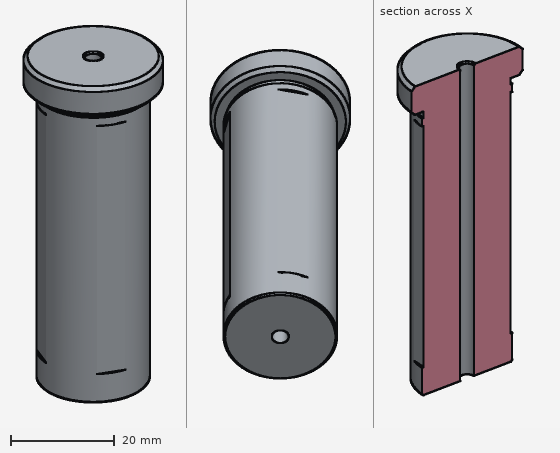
import cadquery as cq

total_length = 69.85
head_diameter = 27.0
head_height = 6.4
head_chamfer = 0.85
shank_diameter = 22.0
shank_chamfer = 0.35

groove_width = 1.3
groove_depth = 0.35

flat_count = 4
flat_depth = 0.385
flat_bottom = 6.35
flat_top = 60.3

hole_diameter = 3.3
hole_chamfer = 0.35

head_bottom = total_length - head_height
groove_bottom = head_bottom - groove_width


def cylinder(diameter, bottom, top):
    """Cylinder on the Z axis between two heights."""
    return cq.Workplane("XY").workplane(offset=bottom).circle(diameter / 2).extrude(top - bottom)


def make_head():
    """Round head with both rims chamfered."""
    return cylinder(head_diameter, head_bottom, total_length).edges().chamfer(head_chamfer)


def make_shank():
    """Shank with a chamfered lower end and a narrower neck forming the groove."""
    body = cylinder(shank_diameter, 0, groove_bottom).faces("<Z").edges().chamfer(shank_chamfer)
    neck = cylinder(shank_diameter - 2 * groove_depth, groove_bottom, head_bottom)
    return body.union(neck)


def cut_flats(body):
    """Mill the shallow flats into the sides of the shank."""
    flat_distance = shank_diameter / 2 - flat_depth
    cutter = cq.Workplane("XY").box(
        shank_diameter, shank_diameter, flat_top - flat_bottom, centered=(False, True, False)
    ).translate((flat_distance, 0, flat_bottom))
    for index in range(flat_count):
        angle = index * 360 / flat_count
        body = body.cut(cutter.rotate((0, 0, 0), (0, 0, 1), angle))
    return body


def cut_hole(body):
    """Drill through along the axis and chamfer the upper mouth."""
    body = body.cut(cylinder(hole_diameter, 0, total_length))
    mouth = cq.Workplane(
        cq.Solid.makeCone(
            hole_diameter / 2,
            hole_diameter / 2 + hole_chamfer,
            hole_chamfer,
            pnt=cq.Vector(0, 0, total_length - hole_chamfer),
        )
    )
    return body.cut(mouth)


result = cut_hole(cut_flats(make_shank()).union(make_head()))